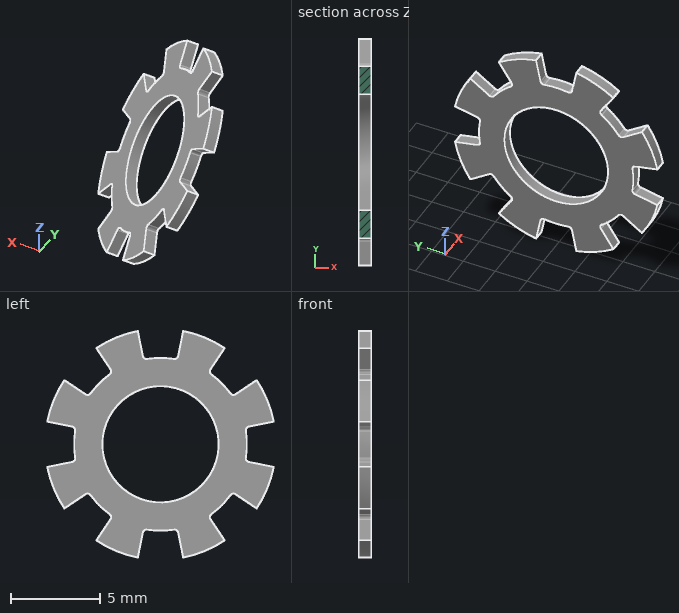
import cadquery as cq
import math

thickness = 0.71
bore_diameter = 6.5
root_radius = 4.85
tip_radius = 6.48
tooth_count = 8
root_fillet_radius = 0.2
cutter_overshoot = 1.0

pitch_angle = 360 / tooth_count
slot_half_angle = pitch_angle / 4


def make_disc():
    """Plain ring with the outer diameter of the teeth."""
    return (
        cq.Workplane("YZ")
        .circle(tip_radius)
        .circle(bore_diameter / 2)
        .extrude(thickness / 2, both=True)
    )


def polar_point(radius, angle):
    """Point in the YZ plane at the given radius and angle in degrees from +Y."""
    radians = math.radians(angle)
    return radius * math.cos(radians), radius * math.sin(radians)


def make_slot(centre_angle):
    """Cutter with radial flanks, and an arc floor."""
    start_angle = centre_angle - slot_half_angle
    end_angle = centre_angle + slot_half_angle
    cutter_radius = tip_radius + cutter_overshoot
    return (
        cq.Workplane("YZ")
        .moveTo(*polar_point(root_radius, start_angle))
        .threePointArc(
            polar_point(root_radius, centre_angle),
            polar_point(root_radius, end_angle),
        )
        .lineTo(*polar_point(cutter_radius, end_angle))
        .threePointArc(
            polar_point(cutter_radius, centre_angle),
            polar_point(cutter_radius, start_angle),
        )
        .close()
        .extrude(thickness / 2, both=True)
    )


def make_washer():
    """Disc with one slot cut between each pair of teeth."""
    washer = make_disc()
    for index in range(tooth_count):
        washer = washer.cut(make_slot(index * pitch_angle))
    return washer


def round_slot_floors(washer):
    """Fillet the axial edges where the slot flanks meet the slot floors."""
    floor_edges = []
    for edge in washer.edges("|X").vals():
        centre = edge.Center()
        if abs(math.hypot(centre.y, centre.z) - root_radius) < root_fillet_radius:
            floor_edges.append(edge)
    return washer.newObject(floor_edges).fillet(root_fillet_radius)


result = round_slot_floors(make_washer())